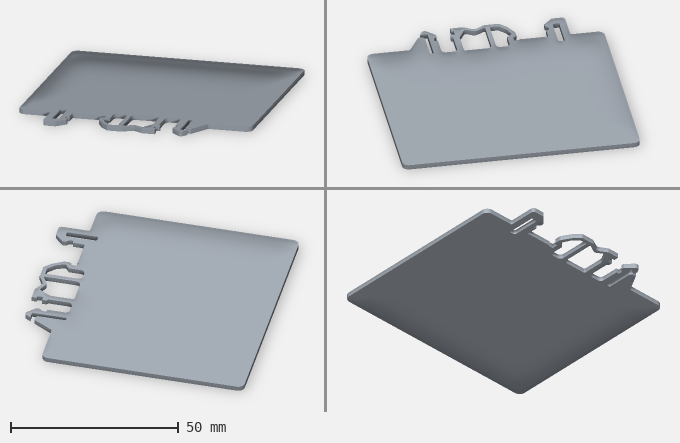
import cadquery as cq
import math

PLATE_WIDTH = 72.0
PLATE_HEIGHT = 62.0
THICKNESS = 1.5
PLATE_CORNER_RADIUS = 2.0

FOOT_DEPTH = 9.5
FOOT_BOTTOM = -FOOT_DEPTH
OPENING_TOP = 3.1
OPENING_RADIUS = 1.35
SMALL_RADIUS = 0.5

NOTCH_TOP = -3.65
NOTCH_DEPTH = 0.95
NOTCH_RAMP_TOP = -4.85
NOTCH_RAMP_BOTTOM = -5.8
LEAD_IN_SIZE = 2.7
LEAD_IN_TOP = FOOT_BOTTOM + LEAD_IN_SIZE

STEEP_SLOPE = math.tan(math.radians(60))

LEFT_FOOT_OUTER = -25.9
LEFT_FOOT_INNER = -19.2
LEFT_SLOT_LEFT = -23.7
LEFT_SLOT_RIGHT = -21.7
LEFT_SLOT_BOTTOM = -6.5
LEFT_SLOT_RADIUS = 0.8
LEFT_FOOT_RADIUS = 1.0

RELIEF_LEFT = -10.3
RELIEF_HEIGHT = 0.3
NECK_LEFT = -8.8
NECK_BOTTOM = -1.55
JAW_LEFT = -9.95
JAW_BEND_X = -8.0
JAW_BEND_Y = -7.4
JAW_STEEP_TOP = JAW_BEND_Y + (JAW_BEND_X - JAW_LEFT) * STEEP_SLOPE
JAW_TOE_X = JAW_BEND_X + (JAW_BEND_Y - FOOT_BOTTOM)
JAW_TOP_RADIUS = 1.0
JAW_RADIUS = 1.0
ARCH_CENTER = 1.75
ARCH_HALF_WIDTH = 3.15
ARCH_SLOPE = math.tan(math.radians(30))
ARCH_PEAK = FOOT_BOTTOM + ARCH_HALF_WIDTH * ARCH_SLOPE
ARCH_RADIUS = 1.5
MIDDLE_FOOT_RIGHT = 8.8
STOP_RIGHT = 9.4
STOP_TOP = -4.3
STOP_BOTTOM = -6.15
SEAT_LEFT = 8.0
SEAT_BOTTOM = -7.9

WINDOW_FLOOR = -8.2
POST_LEFT = -2.95
POST_RIGHT = -1.55
JAW_WINDOW_LEFT = -7.1
JAW_WINDOW_STEP = -2.0
JAW_WINDOW_TIP_X = -8.8
JAW_WINDOW_TIP_Y = -3.3
JAW_WINDOW_TOE_X = -5.45
JAW_WINDOW_BEND_Y = -6.1
JAW_WINDOW_BEND_X = JAW_WINDOW_TOE_X + (WINDOW_FLOOR - JAW_WINDOW_BEND_Y)
ARCH_WINDOW_RIGHT = 6.9
ARCH_WINDOW_RAMP_TOP = -4.3
ARCH_WINDOW_FLOOR = -7.85
ARCH_WINDOW_FLOOR_RIGHT = ARCH_WINDOW_RIGHT - (ARCH_WINDOW_RAMP_TOP - ARCH_WINDOW_FLOOR) / STEEP_SLOPE
ARCH_WINDOW_PEAK = -6.5
ARCH_WINDOW_FLOOR_LEFT = ARCH_CENTER + (ARCH_WINDOW_PEAK - ARCH_WINDOW_FLOOR) / ARCH_SLOPE
ARCH_WINDOW_SIDE_RADIUS = 0.3
ARCH_WINDOW_SIDE_Y = ARCH_WINDOW_PEAK - (ARCH_CENTER - POST_RIGHT) * ARCH_SLOPE

ARM_LEFT = 13.6
ARM_RIGHT = 16.05
ARM_TOE_TOP = -7.6
ARM_TOE_TIP = 18.35
ARM_TOE_RADIUS = 0.9
ARM_TOE_RIGHT = ARM_TOE_TIP - (ARM_TOE_TOP - FOOT_BOTTOM) / STEEP_SLOPE
GUARD_LEFT = 17.2
GUARD_BOTTOM = -6.2
GUARD_BOTTOM_RIGHT = 19.15
GUARD_TOP_RIGHT = GUARD_BOTTOM_RIGHT - GUARD_BOTTOM / STEEP_SLOPE
GUARD_RADIUS = 1.0
ARM_SLOT_RADIUS = 0.5


def toward(start, end, distance):
    """Point at the given distance from start along the line to end."""
    share = distance / math.dist(start, end)
    return (start[0] + share * (end[0] - start[0]), start[1] + share * (end[1] - start[1]))


def rounded_prism(corners):
    """Extrude a closed outline of (x, y, corner radius) by the plate thickness."""
    sketch = None
    for index, (x, y, radius) in enumerate(corners):
        corner = (x, y)
        before = corners[index - 1][:2]
        after = corners[(index + 1) % len(corners)][:2]
        if radius == 0:
            sketch = sketch.lineTo(*corner) if sketch else cq.Workplane("XY").moveTo(*corner)
            continue
        heading_in = math.atan2(before[1] - y, before[0] - x)
        heading_out = math.atan2(after[1] - y, after[0] - x)
        half_angle = abs(math.remainder(heading_out - heading_in, 2 * math.pi)) / 2
        setback = radius / math.tan(half_angle)
        arc_start = toward(corner, before, setback)
        arc_end = toward(corner, after, setback)
        chord_middle = ((arc_start[0] + arc_end[0]) / 2, (arc_start[1] + arc_end[1]) / 2)
        arc_middle = toward(corner, chord_middle, radius / math.sin(half_angle) - radius)
        sketch = sketch.lineTo(*arc_start) if sketch else cq.Workplane("XY").moveTo(*arc_start)
        sketch = sketch.threePointArc(arc_middle, arc_end)
    return sketch.close().extrude(THICKNESS)


def latch_edge(face_x, inward, toe_radius):
    """Notched edge of an outer foot from the notch to the toe; inward is the X sign into the foot."""
    notch_x = face_x + inward * NOTCH_DEPTH
    return [
        (face_x, NOTCH_TOP, 0),
        (notch_x, NOTCH_TOP, 0),
        (notch_x, NOTCH_RAMP_TOP, 0),
        (face_x, NOTCH_RAMP_BOTTOM, 0),
        (face_x, LEAD_IN_TOP, 0),
        (face_x + inward * LEAD_IN_SIZE, FOOT_BOTTOM, toe_radius),
    ]


def body():
    """Plate and feet as one outline, counter-clockwise from the upper left corner."""
    half_width = PLATE_WIDTH / 2
    left_foot = [
        (LEFT_FOOT_OUTER, 0, SMALL_RADIUS),
        (LEFT_FOOT_OUTER, FOOT_BOTTOM, LEFT_FOOT_RADIUS),
        *reversed(latch_edge(LEFT_FOOT_INNER, -1, 0)),
        (LEFT_FOOT_INNER, 0, 0),
    ]
    middle_foot = [
        (RELIEF_LEFT, 0, 0),
        (RELIEF_LEFT, RELIEF_HEIGHT, 0),
        (NECK_LEFT, RELIEF_HEIGHT, 0),
        (NECK_LEFT, NECK_BOTTOM, 0),
        (JAW_LEFT, NECK_BOTTOM, JAW_TOP_RADIUS),
        (JAW_LEFT, JAW_STEEP_TOP, JAW_RADIUS),
        (JAW_BEND_X, JAW_BEND_Y, JAW_RADIUS),
        (JAW_TOE_X, FOOT_BOTTOM, 0),
        (ARCH_CENTER - ARCH_HALF_WIDTH, FOOT_BOTTOM, 0),
        (ARCH_CENTER, ARCH_PEAK, ARCH_RADIUS),
        (ARCH_CENTER + ARCH_HALF_WIDTH, FOOT_BOTTOM, 0),
        (MIDDLE_FOOT_RIGHT, FOOT_BOTTOM, 0),
        (MIDDLE_FOOT_RIGHT, SEAT_BOTTOM, 0),
        (SEAT_LEFT, SEAT_BOTTOM, 0),
        (SEAT_LEFT, STOP_BOTTOM, 0),
        (STOP_RIGHT, STOP_BOTTOM, 0),
        (STOP_RIGHT, STOP_TOP - (STOP_RIGHT - MIDDLE_FOOT_RIGHT), 0),
        (MIDDLE_FOOT_RIGHT, STOP_TOP, 0),
        (MIDDLE_FOOT_RIGHT, OPENING_TOP, OPENING_RADIUS),
    ]
    right_foot = [
        (ARM_LEFT, OPENING_TOP, OPENING_RADIUS),
        *latch_edge(ARM_LEFT, 1, ARM_TOE_RADIUS),
        (ARM_TOE_RIGHT, FOOT_BOTTOM, ARM_TOE_RADIUS),
        (ARM_TOE_TIP, ARM_TOE_TOP, 0),
        (ARM_RIGHT, ARM_TOE_TOP, 0),
        (ARM_RIGHT, OPENING_TOP, ARM_SLOT_RADIUS),
        (GUARD_LEFT, OPENING_TOP, ARM_SLOT_RADIUS),
        (GUARD_LEFT, GUARD_BOTTOM, GUARD_RADIUS),
        (GUARD_BOTTOM_RIGHT, GUARD_BOTTOM, 0),
        (GUARD_TOP_RIGHT, 0, SMALL_RADIUS),
    ]
    return rounded_prism([
        (-half_width, PLATE_HEIGHT, PLATE_CORNER_RADIUS),
        (-half_width, 0, PLATE_CORNER_RADIUS),
        *left_foot,
        *middle_foot,
        *right_foot,
        (half_width, 0, PLATE_CORNER_RADIUS),
        (half_width, PLATE_HEIGHT, PLATE_CORNER_RADIUS),
    ])


def left_slot():
    """Closed slot in the left foot, rounded on its right side only."""
    return rounded_prism([
        (LEFT_SLOT_LEFT, OPENING_TOP, 0),
        (LEFT_SLOT_LEFT, LEFT_SLOT_BOTTOM, 0),
        (LEFT_SLOT_RIGHT, LEFT_SLOT_BOTTOM, LEFT_SLOT_RADIUS),
        (LEFT_SLOT_RIGHT, OPENING_TOP, LEFT_SLOT_RADIUS),
    ])


def jaw_window():
    """Window between the curved jaw and the post of the middle foot."""
    return rounded_prism([
        (JAW_WINDOW_LEFT, OPENING_TOP, OPENING_RADIUS),
        (JAW_WINDOW_LEFT, JAW_WINDOW_STEP, 0),
        (JAW_WINDOW_TIP_X, JAW_WINDOW_TIP_Y, SMALL_RADIUS),
        (JAW_WINDOW_BEND_X, JAW_WINDOW_BEND_Y, 0),
        (JAW_WINDOW_TOE_X, WINDOW_FLOOR, 0),
        (POST_LEFT, WINDOW_FLOOR, 0),
        (POST_LEFT, OPENING_TOP, OPENING_RADIUS),
    ])


def arch_window():
    """Window between the post and the right side of the middle foot, above the arch."""
    return rounded_prism([
        (POST_RIGHT, OPENING_TOP, OPENING_RADIUS),
        (POST_RIGHT, ARCH_WINDOW_SIDE_Y, ARCH_WINDOW_SIDE_RADIUS),
        (ARCH_CENTER, ARCH_WINDOW_PEAK, ARCH_RADIUS),
        (ARCH_WINDOW_FLOOR_LEFT, ARCH_WINDOW_FLOOR, SMALL_RADIUS),
        (ARCH_WINDOW_FLOOR_RIGHT, ARCH_WINDOW_FLOOR, 0),
        (ARCH_WINDOW_RIGHT, ARCH_WINDOW_RAMP_TOP, 0),
        (ARCH_WINDOW_RIGHT, OPENING_TOP, SMALL_RADIUS),
    ])


result = body().cut(left_slot()).cut(jaw_window()).cut(arch_window())